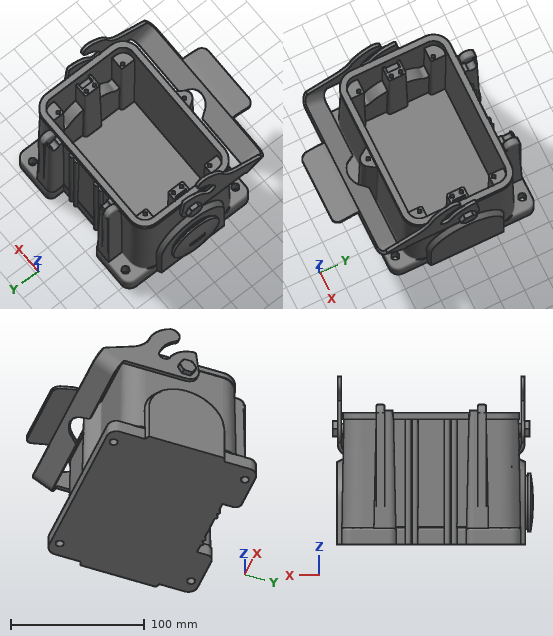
import cadquery as cq
import math

BASE_X = 134.5
BASE_Y = 119.7
BASE_H = 12.7
BASE_CORNER_R = 7.5
BASE_EDGE_R = 2.0
NOTCH_HALF_X = 26.3
NOTCH_Y = 46.2
NOTCH_CORNER_R = 5.3
HOLE_X = 55.6
HOLE_Y = 52.9
HOLE_D = 6.0

RIM_X = 132.3
RIM_Y = 91.0
RIM_TOP = 99.0
RIM_BOTTOM = 94.0
RIM_STEP = 0.6
RIM_R = 14.4
WALL = 5.1
DRAFT = 1.0
FLOOR_Z = 4.5
ROOT_R = 0.9

POST_TOP = 88.0
POST_HALF_GAP_X = 49.3
CORNER_POST_Y = 27.8
MID_POST_HALF_Y = 7.1
POST_EDGE_R = 1.2
SCREW_D = 3.0
SCREW_DEPTH = 9.0
SCREW_X = 52.1
CORNER_SCREW_Y = 31.0
MID_SCREW_Y = 4.0
MID_POCKET_X = 55.6
MID_POCKET_HALF_Y = 5.1
MID_POCKET_DEPTH = 4.5

ENTRY_Z = 31.7
PAD_X = 70.7
PAD_R = 30.2
PAD_FLARE = 2.3
ARCH_X = 50.8
ARCH_R = 26.9
ARCH_ROOT_R = 3.0

CAP_D = 44.0
CAP_INNER_X = 72.5
CAP_OUTER_X = 74.6
DOME_X = 76.6
NECK_D = 40.5
SLOT_L = 14.2
SLOT_W = 2.5
SLOT_DEPTH = 1.2

BOSS_TIP_Y = -48.8
BOSS_TIP_R = 5.9
BOSS_FLANK_ANGLE = 34.0
BOSS_ROOT_Y = -42.3
BOSS_ROOT_R = 2.4
BOSS_SCREW_Y = -48.5

CATCH_OUTER_X = 43.2
CATCH_BACK_Y = 59.2
CATCH_FRONT_Y = 43.8
CATCH_TOP = 100.8
CATCH_DRAFT = 1.2
TONGUE_OUTER_X = 41.2
TONGUE_INNER_X = 34.9
TONGUE_Y = 52.5
TONGUE_R = 6.2
TONGUE_TOP = 105.2
TONGUE_EDGE_R = 1.5
TROUGH_Y = 52.3
TROUGH_R = 3.3
LEDGE_Y = 49.0
LEDGE_Z = 97.5

RIB_R = 2.3
RIB_XS = (-17.2, -12.1, 12.1, 17.2)

PIVOT_Z = 86.9
PIVOT_D = 8.0
HEAD_FLATS = 11.8
HEAD_X = 73.9
HEAD_CHAMFER = 0.5
LEVER_X = 70.1
SHEET = 2.7
LUG_R = 10.3
HOOK_R = 4.5
HOOK_Y = -17.4
HOOK_Z = 96.0
ARM_TIP_R = 6.3
ARM_TIP_Y = -11.5
ARM_TIP_Z = 120.0
BAR_SLOPE = 30.0
BAR_START_Y = -51.7
BAR_START_Z = 75.5
BAR_LOW = -0.9
BAR_HIGH = 17.2
BEND_R = 10.0
NOTCH_MOUTH = 13.9
NOTCH_THROAT = 10.7
NOTCH_THROAT_AT = 4.4
NOTCH_DEPTH_AT = 11.3
TAB_HALF_X = 30.0
TAB_CORNER_R = 6.0
TAB_END_Y = -91.3


def block(x0, x1, y0, y1, z0, z1):
    """Box between two corners given by their coordinates."""
    low = (min(x0, x1), min(y0, y1), min(z0, z1))
    return cq.Workplane("XY").box(abs(x1 - x0), abs(y1 - y0), abs(z1 - z0), centered=False).translate(low)


def rounded_prism(size_x, size_y, corner_r, z_top, z_bottom, taper=0.0):
    """Rounded rectangle extruded downwards; a negative taper widens it."""
    outline = cq.Sketch().rect(size_x, size_y).vertices().fillet(corner_r)
    return cq.Workplane("XY", origin=(0, 0, z_top)).placeSketch(outline).extrude(z_bottom - z_top, taper=taper)


def rod_x(diameter, x0, x1, y, z):
    """Cylinder along X from x0 to x1."""
    return cq.Workplane("YZ", origin=(x0, y, z)).circle(diameter / 2).extrude(x1 - x0)


def base_notch():
    """Opening in the back edge of the base, between the catch posts."""
    return block(-NOTCH_HALF_X, NOTCH_HALF_X, NOTCH_Y, BASE_Y, 0, BASE_H + ROOT_R)


def base_flange():
    notch_corners = cq.selectors.BoxSelector(
        (-NOTCH_HALF_X - 1.5, BASE_Y / 2 - 1.5, 0), (NOTCH_HALF_X + 1.5, BASE_Y / 2 + 1.5, BASE_H)
    )
    return (
        cq.Workplane("XY").box(BASE_X, BASE_Y, BASE_H, centered=(True, True, False))
        .edges("|Z").fillet(BASE_CORNER_R)
        .cut(base_notch())
        .edges("|Z").edges(notch_corners).fillet(NOTCH_CORNER_R)
        .faces(">Z").edges().fillet(BASE_EDGE_R)
    )


def box_rim():
    return rounded_prism(RIM_X, RIM_Y, RIM_R, RIM_TOP, RIM_BOTTOM)


def box_body():
    """Outside of the drafted walls below the rim."""
    return rounded_prism(
        RIM_X - 2 * RIM_STEP, RIM_Y - 2 * RIM_STEP, RIM_R - RIM_STEP, RIM_BOTTOM, 0, -DRAFT
    )


def box_cavity():
    size = (RIM_X - 2 * WALL, RIM_Y - 2 * WALL, RIM_R - WALL)
    upper = rounded_prism(*size, RIM_TOP, RIM_BOTTOM)
    lower = rounded_prism(*size, RIM_BOTTOM, FLOOR_Z, DRAFT)
    return upper.union(lower)


def screw_post(y0, y1):
    """Post of the +X end between y0 and y1, with drafted sides."""
    length_x = RIM_X / 2 - POST_HALF_GAP_X
    return (
        cq.Workplane("XY", origin=(RIM_X / 2 - length_x / 2, (y0 + y1) / 2, POST_TOP))
        .sketch().rect(length_x, y1 - y0).vertices().fillet(POST_EDGE_R).finalize()
        .extrude(FLOOR_Z - POST_TOP, taper=-DRAFT)
    )


def entry_arch():
    """Inner boss of the cable entry, with concave corners where it meets the corner posts."""
    root_y = CORNER_POST_Y - ARCH_ROOT_R
    reach = ARCH_R + ARCH_ROOT_R
    root_z = ENTRY_Z + math.sqrt(reach ** 2 - root_y ** 2)
    touch_y = root_y * ARCH_R / reach
    touch_z = ENTRY_Z + (root_z - ENTRY_Z) * ARCH_R / reach
    middle = math.radians(45)
    hollow_y = root_y + ARCH_ROOT_R * math.sin(middle) / 2
    hollow_z = root_z - math.sqrt(ARCH_ROOT_R ** 2 - (hollow_y - root_y) ** 2)
    return (
        cq.Workplane("YZ", origin=(ARCH_X, 0, 0))
        .moveTo(-CORNER_POST_Y, FLOOR_Z)
        .lineTo(-CORNER_POST_Y, root_z)
        .threePointArc((-hollow_y, hollow_z), (-touch_y, touch_z))
        .threePointArc((0, ENTRY_Z + ARCH_R), (touch_y, touch_z))
        .threePointArc((hollow_y, hollow_z), (CORNER_POST_Y, root_z))
        .lineTo(CORNER_POST_Y, FLOOR_Z)
        .close()
        .extrude(RIM_X / 2 - ARCH_X)
    )


def end_fittings():
    """Posts and entry arch at the +X end of the cavity, trimmed to stay inside the box."""
    fittings = entry_arch().union(screw_post(-MID_POST_HALF_Y, MID_POST_HALF_Y))
    for y0, y1 in ((CORNER_POST_Y, RIM_Y / 2), (-RIM_Y / 2, -CORNER_POST_Y)):
        fittings = fittings.union(screw_post(y0, y1))
    for y in (-CORNER_SCREW_Y, -MID_SCREW_Y, MID_SCREW_Y, CORNER_SCREW_Y):
        fittings = fittings.cut(
            cq.Workplane("XY", origin=(SCREW_X, y, POST_TOP)).circle(SCREW_D / 2).extrude(-SCREW_DEPTH)
        )
    pocket = block(
        MID_POCKET_X, RIM_X / 2 - WALL, -MID_POCKET_HALF_Y, MID_POCKET_HALF_Y,
        POST_TOP - MID_POCKET_DEPTH, POST_TOP,
    )
    return fittings.cut(pocket).intersect(box_body())


def entry_pad():
    """Flat arched pad around the +X cable entry, flaring towards the wall."""
    root_x = RIM_X / 2 - WALL / 2
    flare = math.degrees(math.atan(PAD_FLARE / (PAD_X - RIM_X / 2)))
    return (
        cq.Workplane("YZ", origin=(PAD_X, 0, 0))
        .moveTo(-PAD_R, -PAD_R)
        .lineTo(-PAD_R, ENTRY_Z)
        .threePointArc((0, ENTRY_Z + PAD_R), (PAD_R, ENTRY_Z))
        .lineTo(PAD_R, -PAD_R)
        .close()
        .extrude(root_x - PAD_X, taper=-flare)
        .intersect(block(0, PAD_X, -BASE_Y, BASE_Y, 0, RIM_TOP))
    )


def blanking_plug():
    """Domed plug with a screwdriver slot, turned about the axis of the -X entry."""
    dome_height = DOME_X - CAP_OUTER_X
    cap_r = CAP_D / 2
    dome_r = (cap_r ** 2 + dome_height ** 2) / (2 * dome_height)
    half_r = cap_r / 2
    half_x = DOME_X - dome_r + math.sqrt(dome_r ** 2 - half_r ** 2)
    plug = (
        cq.Workplane("XY", origin=(0, 0, ENTRY_Z))
        .moveTo(-PAD_X + WALL, 0)
        .lineTo(-PAD_X + WALL, NECK_D / 2)
        .lineTo(-CAP_INNER_X, NECK_D / 2)
        .lineTo(-CAP_INNER_X, cap_r)
        .lineTo(-CAP_OUTER_X, cap_r)
        .threePointArc((-half_x, half_r), (-DOME_X, 0))
        .close()
        .revolve(360, (0, 0, 0), (1, 0, 0))
    )
    slot = block(
        -DOME_X, -DOME_X + SLOT_DEPTH, -SLOT_L / 2, SLOT_L / 2, ENTRY_Z - SLOT_W / 2, ENTRY_Z + SLOT_W / 2
    )
    return plug.cut(slot)


def front_boss():
    """Rounded V-shaped screw boss running down the front wall."""
    angle = math.radians(BOSS_FLANK_ANGLE)
    touch_x = BOSS_TIP_R * math.cos(angle)
    touch_y = BOSS_TIP_Y - BOSS_TIP_R * math.sin(angle)
    root_x = touch_x + (BOSS_ROOT_Y - touch_y) * math.tan(angle)
    boss = (
        cq.Workplane("XY", origin=(0, 0, RIM_BOTTOM))
        .moveTo(-root_x, BOSS_ROOT_Y)
        .lineTo(-touch_x, touch_y)
        .threePointArc((0, BOSS_TIP_Y - BOSS_TIP_R), (touch_x, touch_y))
        .lineTo(root_x, BOSS_ROOT_Y)
        .close()
        .extrude(-RIM_BOTTOM, taper=-DRAFT)
    )
    return boss.cut(
        cq.Workplane("XY", origin=(0, BOSS_SCREW_Y, RIM_BOTTOM)).circle(SCREW_D / 2).extrude(-SCREW_DEPTH)
    )


def catch_post():
    """Post on the +X half of the back wall: a rounded tongue beside a hollow for the hook."""
    size_x = CATCH_OUTER_X - NOTCH_HALF_X
    size_y = CATCH_BACK_Y - CATCH_FRONT_Y
    outline = cq.Sketch().rect(size_x, size_y).vertices("<X and >Y").fillet(NOTCH_CORNER_R)
    post = (
        cq.Workplane("XY", origin=(NOTCH_HALF_X + size_x / 2, CATCH_FRONT_Y + size_y / 2, 0))
        .placeSketch(outline)
        .extrude(CATCH_TOP, taper=CATCH_DRAFT)
    )
    post = post.cut(block(0, TONGUE_INNER_X, 0, LEDGE_Y, LEDGE_Z, TONGUE_TOP))
    post = post.cut(block(TONGUE_INNER_X, CATCH_OUTER_X, 0, BASE_Y, TONGUE_TOP - TONGUE_R, TONGUE_TOP))
    trough = rod_x(2 * TROUGH_R, NOTCH_HALF_X, TONGUE_INNER_X, TROUGH_Y, LEDGE_Z)
    trough = trough.union(
        block(
            NOTCH_HALF_X, TONGUE_INNER_X, TROUGH_Y - TROUGH_R, TROUGH_Y + TROUGH_R, LEDGE_Z, TONGUE_TOP
        )
    )
    tongue_z = TONGUE_TOP - TONGUE_R
    tongue = block(
        TONGUE_INNER_X, TONGUE_OUTER_X, TONGUE_Y - TONGUE_R, TONGUE_Y + TONGUE_R, BASE_H, tongue_z
    )
    disc = rod_x(2 * TONGUE_R, TONGUE_INNER_X, TONGUE_OUTER_X, TONGUE_Y, tongue_z)
    disc = disc.faces("<X or >X").edges().fillet(TONGUE_EDGE_R)
    return post.cut(trough).union(tongue).union(disc)


def back_rib(x):
    """Small half-round rib down the back wall."""
    return cq.Workplane("XY", origin=(x, RIM_Y / 2, 0)).circle(RIB_R).extrude(RIM_BOTTOM)


def pivot():
    """Hexagon-headed pivot of the +X side, carried by the wall."""
    shank = rod_x(PIVOT_D, RIM_X / 2 - WALL / 2, HEAD_X, 0, PIVOT_Z)
    head_plane = cq.Workplane("YZ", origin=(LEVER_X, 0, PIVOT_Z))
    head = (
        head_plane.transformed(rotate=(0, 0, 30))
        .polygon(6, HEAD_FLATS, circumscribed=True)
        .extrude(HEAD_X - LEVER_X)
        .intersect(
            head_plane.circle(HEAD_FLATS / math.sqrt(3)).extrude(HEAD_X - LEVER_X)
            .faces(">X").chamfer(HEAD_CHAMFER)
        )
    )
    return shank.union(head)


def walls_on_base():
    """Box walls and front boss, blended into the base by a root fillet."""
    walls = box_body().union(front_boss())
    boss_roots = cq.selectors.BoxSelector(
        (-NOTCH_HALF_X, -BASE_Y, 0), (NOTCH_HALF_X, -CATCH_FRONT_Y, RIM_BOTTOM)
    )
    walls = walls.edges(boss_roots).edges("<X or >X").fillet(BOSS_ROOT_R).union(box_rim())
    slab = cq.Workplane("XY").box(2 * BASE_X, 2 * BASE_Y, BASE_H, centered=(True, True, False))
    foot = cq.selectors.BoxSelector((-BASE_X, -BASE_Y, BASE_H - 0.2), (BASE_X, BASE_Y, BASE_H + 0.2))
    blended = slab.union(walls).edges(foot).edges("not(<X or >X or <Y or >Y)").fillet(ROOT_R)
    room = cq.Workplane("XY").box(BASE_X, BASE_Y, RIM_TOP, centered=(True, True, False))
    return blended.intersect(room.translate((0, 0, BASE_H)).union(base_flange()))


def make_housing():
    shell = walls_on_base().cut(base_notch())
    for x in RIB_XS:
        shell = shell.union(back_rib(x))
    catch = catch_post()
    pad = entry_pad()
    for side in (pad, catch):
        shell = shell.union(side).union(side.mirror("YZ"))
    shell = shell.cut(box_cavity())
    fittings = end_fittings()
    shell = shell.union(fittings).union(fittings.mirror("YZ"))
    bolt = pivot()
    shell = shell.union(bolt).union(bolt.mirror("YZ")).union(blanking_plug())
    for x in (-HOLE_X, HOLE_X):
        for y in (-HOLE_Y, HOLE_Y):
            shell = shell.cut(cq.Workplane("XY").center(x, y).circle(HOLE_D / 2).extrude(BASE_H))
    return shell


def bar_point(along, depth):
    """Y and Z of a point of the sloping cross bar: along its slope and below the bend line."""
    slope = math.radians(BAR_SLOPE)
    return (
        BAR_START_Y - along * math.cos(slope) - depth * math.sin(slope),
        BAR_START_Z + along * math.sin(slope) - depth * math.cos(slope),
    )


def lever_side():
    """Side plate of the +X end: lug round the pivot, catch hook, finger arm and bend line."""
    return (
        cq.Workplane("YZ", origin=(LEVER_X - SHEET, 0, 0))
        .moveTo(0, PIVOT_Z - LUG_R)
        .threePointArc(
            (LUG_R * math.cos(math.radians(45)), PIVOT_Z - LUG_R * math.sin(math.radians(45))),
            (LUG_R, PIVOT_Z),
        )
        .lineTo(8.2, 105.6)
        .threePointArc((7.4, 107.3), (5.7, 107.9))
        .threePointArc((-6.0, 103.0), (-13.6, 93.7))
        .threePointArc((HOOK_Y, HOOK_Z - HOOK_R), (HOOK_Y - HOOK_R, HOOK_Z))
        .lineTo(-21.0, 98.7)
        .threePointArc((-15.4, 108.5), (-8.2, 114.5))
        .threePointArc((ARM_TIP_Y + ARM_TIP_R, ARM_TIP_Z), (-12.7, ARM_TIP_Z + 6.2))
        .threePointArc((-23.0, 119.4), (-30.5, 106.7))
        .threePointArc((-35.8, 99.7), (-43.4, 94.9))
        .lineTo(-64.0, 85.7)
        .lineTo(*bar_point(BAR_HIGH, 0))
        .lineTo(*bar_point(BAR_LOW, 0))
        .lineTo(BAR_START_Y + 1.5, PIVOT_Z - LUG_R)
        .close()
        .extrude(SHEET)
        .cut(rod_x(PIVOT_D, 0, HEAD_X, 0, PIVOT_Z))
    )


def bar_plane(along):
    """Plane across the cross bar: local x along X, local y pointing back up to the side plates."""
    slope = math.radians(BAR_SLOPE)
    y, z = bar_point(along, 0)
    return cq.Plane(origin=(0, y, z), xDir=(1, 0, 0), normal=(0, -math.cos(slope), math.sin(slope)))


def cross_bar():
    """Bar bent from the two side plates, with a rounded relief in its lower edge."""
    outer = LEVER_X
    inner = LEVER_X - SHEET
    corner = math.cos(math.radians(45))
    inner_r = BEND_R - SHEET
    flat = LEVER_X - BEND_R

    def arc_mid(side, radius):
        return (side * (flat + radius * corner), -radius * corner)

    bar = (
        cq.Workplane(bar_plane(BAR_LOW))
        .moveTo(-outer, 0)
        .threePointArc(arc_mid(-1, BEND_R), (-flat, -BEND_R))
        .lineTo(flat, -BEND_R)
        .threePointArc(arc_mid(1, BEND_R), (outer, 0))
        .lineTo(inner, 0)
        .threePointArc(arc_mid(1, inner_r), (flat, -inner_r))
        .lineTo(-flat, -inner_r)
        .threePointArc(arc_mid(-1, inner_r), (-inner, 0))
        .close()
        .extrude(BAR_HIGH - BAR_LOW)
    )
    slope = math.radians(BAR_SLOPE)
    y, z = bar_point(0, 0)
    flat_plane = cq.Plane(
        origin=(0, y, z), xDir=(1, 0, 0), normal=(0, math.sin(slope), math.cos(slope))
    )
    relief = (
        cq.Workplane(flat_plane)
        .moveTo(-NOTCH_MOUTH, -BAR_LOW)
        .lineTo(-NOTCH_THROAT, -NOTCH_THROAT_AT)
        .threePointArc((0, -NOTCH_DEPTH_AT), (NOTCH_THROAT, -NOTCH_THROAT_AT))
        .lineTo(NOTCH_MOUTH, -BAR_LOW)
        .close()
        .extrude(-2 * BEND_R)
    )
    return bar.cut(relief)


def finger_tab():
    """Tab folded outwards from the upper edge of the cross bar."""
    top = bar_point(BAR_HIGH, BEND_R - SHEET)
    low = bar_point(BAR_HIGH, BEND_R)
    tab = (
        cq.Workplane("YZ", origin=(-TAB_HALF_X, 0, 0))
        .moveTo(*low)
        .lineTo(*top)
        .threePointArc((-73.1, 78.0), (-76.5, 77.5))
        .lineTo(TAB_END_Y, 73.3)
        .lineTo(TAB_END_Y + 0.6, 70.7)
        .lineTo(-75.5, 75.0)
        .threePointArc((-73.6, 75.4), low)
        .close()
        .extrude(2 * TAB_HALF_X)
    )
    mask = (
        block(-TAB_HALF_X, TAB_HALF_X, TAB_END_Y, 0, 0, RIM_TOP)
        .edges("|Z and <Y").fillet(TAB_CORNER_R)
    )
    return tab.intersect(mask)


def make_lever():
    side = lever_side()
    return cross_bar().union(side).union(side.mirror("YZ")).union(finger_tab())


housing = make_housing()
lever = make_lever()
result = cq.Compound.makeCompound([housing.val(), lever.val()])